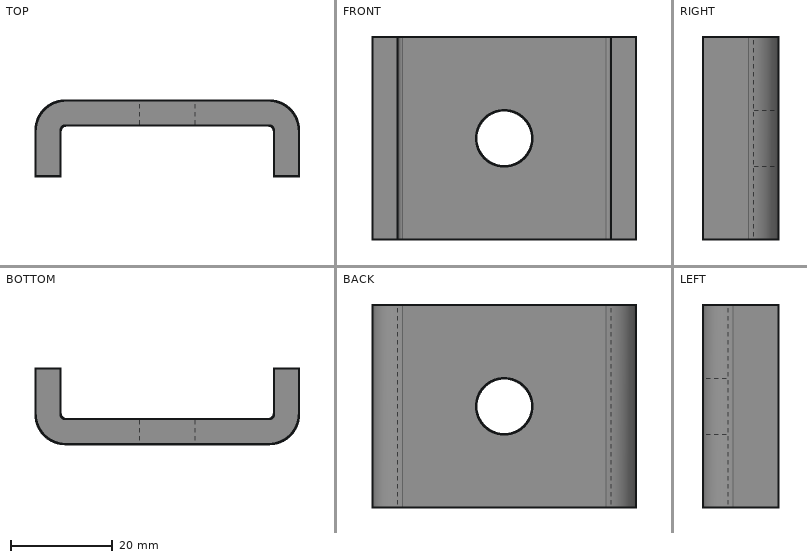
import cadquery as cq

width = 52.0
depth = 15.0
height = 40.0

thickness = 5.0
inner_bend_radius = 1.0
outer_bend_radius = inner_bend_radius + thickness

hole_diameter = 11.0


def block(block_width, block_depth):
    """Full-height block, centred on X, with its front face on Y = 0."""
    return cq.Workplane("XY").box(block_width, block_depth, height, centered=(True, False, True))


outer_body = block(width, depth).edges("|Z and >Y").fillet(outer_bend_radius)
inner_space = block(width - 2 * thickness, depth - thickness).edges("|Z and >Y").fillet(inner_bend_radius)
channel = outer_body.cut(inner_space)

hole_cutter = cq.Workplane("XZ").circle(hole_diameter / 2).extrude(-depth)

result = channel.cut(hole_cutter).translate((0, -depth / 2, 0))